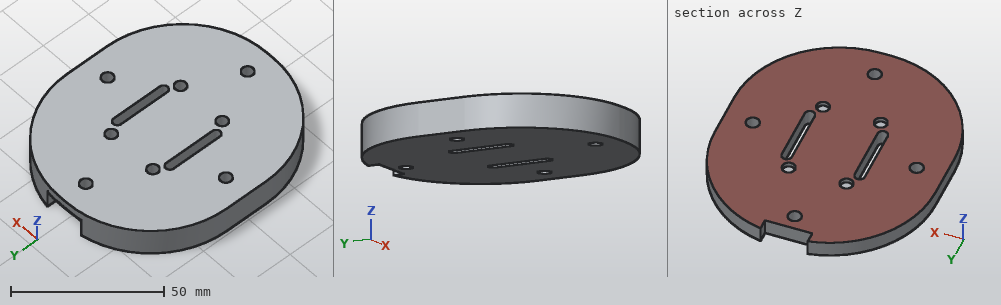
import cadquery as cq

length = 91.3
width = 77.5
thickness = 11.4
corner_radius = 37.0

mount_diameter = 4.5
mount_offset_x = 28.75
mount_offset_y = 35.6

blind_diameter = 4.4
blind_depth = 7.3
blind_spacing_x = 20.3
blind_spacing_y = 30.5

slot_width = 3.4
slot_length = 23.7
slot_spacing = 25.6

notch_width = 16.4
notch_depth = 4.6
lip_thickness = 3.7


def make_plate():
    plate = cq.Workplane("XY").rect(width, length).extrude(thickness)
    return plate.edges("|Z").fillet(corner_radius)


def cut_holes(plate):
    mount_points = [
        (mount_offset_x, 0),
        (-mount_offset_x, 0),
        (0, mount_offset_y),
        (0, -mount_offset_y),
    ]
    top = cq.Workplane("XY").workplane(offset=thickness)
    mount_holes = top.pushPoints(mount_points).circle(mount_diameter / 2).extrude(-thickness)
    blind_holes = (
        top.rarray(blind_spacing_x, blind_spacing_y, 2, 2)
        .circle(blind_diameter / 2)
        .extrude(-blind_depth)
    )
    return plate.cut(mount_holes).cut(blind_holes)


def cut_slots(plate):
    slots = (
        cq.Workplane("XY")
        .rarray(slot_spacing, 0.9, 2, 1)
        .slot2D(slot_length, slot_width, 90)
        .extrude(thickness)
    )
    return plate.cut(slots)


def cut_notch(plate):
    notch = (
        cq.Workplane("XY")
        .center(0, length / 2 - notch_depth / 2)
        .rect(notch_width, notch_depth)
        .extrude(thickness - lip_thickness)
    )
    return plate.cut(notch)


result = cut_notch(cut_slots(cut_holes(make_plate())))